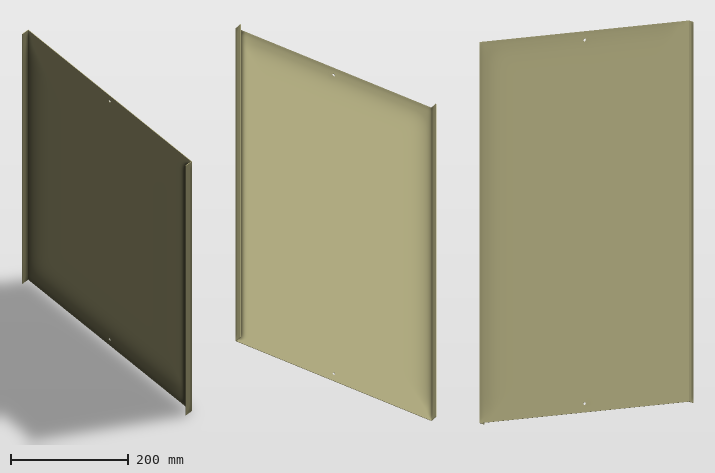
import cadquery as cq

width = 404.0
depth = 14.5
height = 660.0
sheet = 1.0

hole_diameter = 5.0
hole_edge_distance = 15.0


def make_channel():
    """Flat sheet with a flange along each long side, pointing to -Y."""
    outer = cq.Workplane("XY").box(width, depth, height)
    recess = cq.Workplane("XY").box(width - 2 * sheet, depth, height).translate((0, -sheet, 0))
    return outer.cut(recess)


def make_holes():
    """Holes through the sheet, one near each end."""
    hole_z = height / 2 - hole_edge_distance
    return (
        cq.Workplane("XZ")
        .pushPoints([(0, hole_z), (0, -hole_z)])
        .circle(hole_diameter / 2)
        .extrude(depth, both=True)
    )


result = make_channel().cut(make_holes())